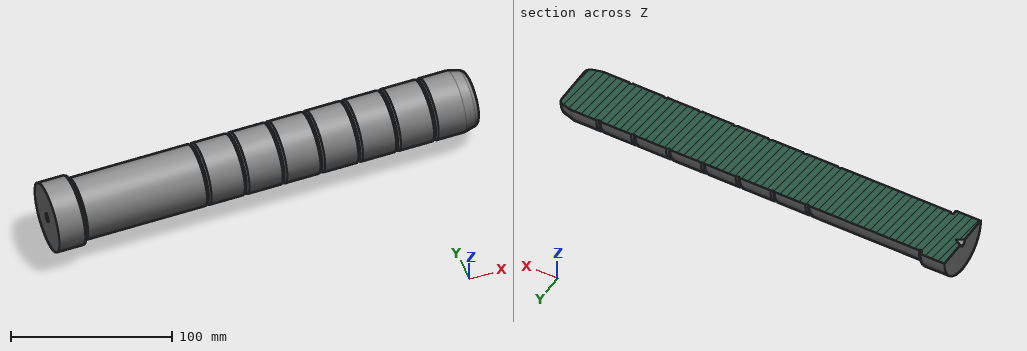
import cadquery as cq
import math

total_length = 280.0
head_diameter = 45.0
head_length = 18.0
head_chamfer_length = 0.8
head_chamfer_depth = 0.3
shank_diameter = 40.0

relief_width = 2.0
relief_depth = 0.8

groove_count = 7
first_groove_x = 100.0
last_groove_x = 250.0
groove_width = 3.0
groove_depth = 0.8

nose_length = 10.0
taper_length = 6.7
taper_angle = 14
end_face_diameter = 29.0

centre_mark_diameter = 5.5
centre_mark_angle = 60

groove_pitch = (last_groove_x - first_groove_x) / (groove_count - 1)
head_radius = head_diameter / 2
shank_radius = shank_diameter / 2
relief_radius = shank_radius - relief_depth
nose_start_x = total_length - nose_length
taper_end_x = nose_start_x + taper_length
taper_end_radius = shank_radius - taper_length * math.tan(math.radians(taper_angle))
end_face_radius = end_face_diameter / 2


def make_body():
    """Revolve the half profile of head, relief, shank and nose about X."""
    profile = (
        cq.Workplane("XY")
        .lineTo(0, head_radius)
        .lineTo(head_length - head_chamfer_length, head_radius)
        .lineTo(head_length, head_radius - head_chamfer_depth)
        .lineTo(head_length, relief_radius)
        .lineTo(head_length + relief_width, relief_radius)
        .lineTo(head_length + relief_width, shank_radius)
        .lineTo(nose_start_x, shank_radius)
        .lineTo(taper_end_x, taper_end_radius)
        .tangentArcPoint((total_length, end_face_radius), relative=False)
        .lineTo(total_length, 0)
        .close()
    )
    return profile.revolve(360, (0, 0), (1, 0))


def make_groove_cutter(centre_x):
    """Ring with a V-shaped section, centred at the given X position."""
    half_width = groove_width / 2
    section = (
        cq.Workplane("XY")
        .moveTo(centre_x - half_width, shank_radius)
        .lineTo(centre_x, shank_radius - groove_depth)
        .lineTo(centre_x + half_width, shank_radius)
        .close()
    )
    return section.revolve(360, (0, 0), (1, 0))


def make_centre_mark():
    """Pointed cone, widest at the head face."""
    mouth_radius = centre_mark_diameter / 2
    depth = mouth_radius / math.tan(math.radians(centre_mark_angle / 2))
    section = cq.Workplane("XY").lineTo(0, mouth_radius).lineTo(depth, 0).close()
    return section.revolve(360, (0, 0), (1, 0))


result = make_body()
for index in range(groove_count):
    result = result.cut(make_groove_cutter(first_groove_x + index * groove_pitch))
result = result.cut(make_centre_mark())